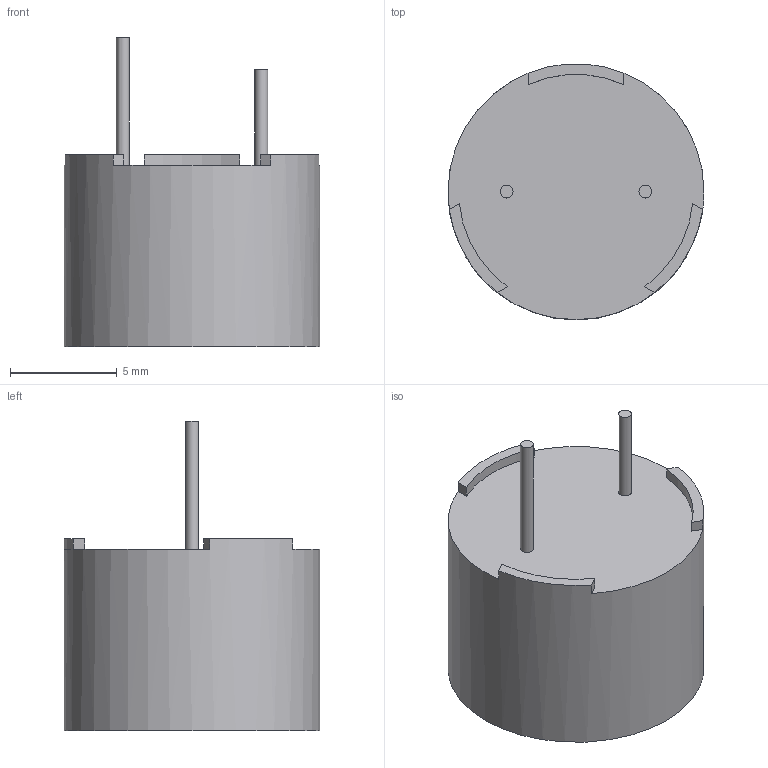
import cadquery as cq

body_diameter = 12.0
body_height = 8.5

rim_count = 3
rim_height = 0.5
rim_thickness = 0.5
rim_width = 4.5
first_rim_angle = 90.0

pin_diameter = 0.6
pin_pitch = 6.5
long_pin_length = 6.0
short_pin_length = 4.5

body_radius = body_diameter / 2
rim_inner_radius = body_radius - rim_thickness


def on_top_face():
    return cq.Workplane("XY").workplane(offset=body_height)


def make_body():
    return cq.Workplane("XY").circle(body_radius).extrude(body_height)


def make_rim_segment(angle):
    """Piece of the rim ring with parallel ends, centred on the given angle."""
    ring = on_top_face().circle(body_radius).circle(rim_inner_radius).extrude(rim_height)
    strip = on_top_face().center(body_radius / 2, 0).rect(body_radius, rim_width).extrude(rim_height)
    return ring.intersect(strip).rotate((0, 0, 0), (0, 0, 1), angle)


def make_pin(x, length):
    return on_top_face().center(x, 0).circle(pin_diameter / 2).extrude(length)


result = make_body()
for index in range(rim_count):
    result = result.union(make_rim_segment(first_rim_angle + index * 360 / rim_count))
result = result.union(make_pin(-pin_pitch / 2, long_pin_length))
result = result.union(make_pin(pin_pitch / 2, short_pin_length))